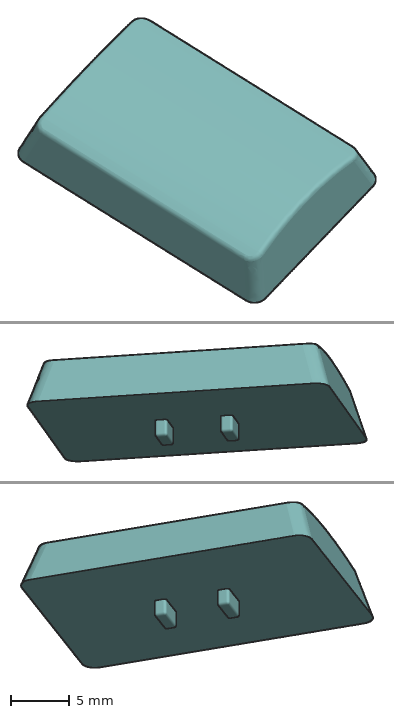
import cadquery as cq
import math

length = 26.5
width = 17.5
crown_height = 5.04
draft_angle = 16.5
corner_radius = 1.25
crown_radius = 28.88
top_edge_radius = 0.5
crown_trim = 0.53

leg_length = 1.45
leg_size_x = 1.09
leg_size_y = 2.84
leg_spacing = 5.75
leg_edge_radius = 0.25


def make_cap():
    """Tapered block with rounded corners and a top curved across its width."""
    block_height = crown_height + crown_trim
    inset = block_height * math.tan(math.radians(draft_angle))
    block = (
        cq.Workplane("XY")
        .rect(length, width)
        .workplane(offset=block_height)
        .rect(length - 2 * inset, width - 2 * inset)
        .loft(ruled=True)
    )
    block = block.edges("not(#Z)").fillet(corner_radius)
    crown = (
        cq.Workplane("YZ")
        .center(0, crown_height - crown_radius)
        .circle(crown_radius)
        .extrude(length / 2, both=True)
    )
    cap = block.intersect(crown)
    return cap.faces(">Z").edges().fillet(top_edge_radius)


def make_leg(x):
    """Rounded leg hanging below the flat underside of the cap."""
    return (
        cq.Workplane("XY")
        .center(x, 0)
        .rect(leg_size_x, leg_size_y)
        .extrude(-leg_length)
        .edges("|Z or <Z")
        .fillet(leg_edge_radius)
    )


result = make_cap()
for side in (-1, 1):
    result = result.union(make_leg(side * leg_spacing / 2))